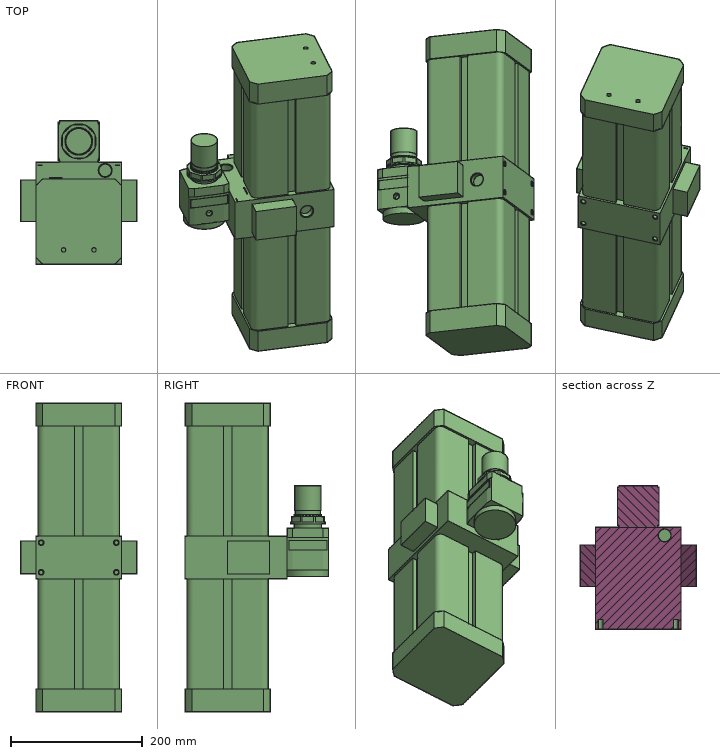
import cadquery as cq


total_height = 468.0
section_width = 130.0
cap_height = 35.0
cap_corner_radius = 84.5
cap_depth_y = 129.0

tube_width = 123.6
tube_corner_radius = 10.0
groove_width = 12.5
groove_depth = 7.0

cap_hole_diameter = 6.65
cap_hole_depth = 15.0
cap_hole_spacing = 46.0
cap_hole_y = -43.0

block_height = 65.0
screw_hole_diameter = 8.5
screw_core_diameter = 6.5
screw_hole_depth = 15.0
screw_chamfer = 1.0
screw_spacing_x = 114.0
screw_spacing_z = 45.0

port_diameter = 21.0
port_core_diameter = 19.0
port_chamfer = (port_diameter - port_core_diameter) / 2
port_depth = 11.0
side_port_y = -22.5
plate_port_x = 40.0

plate_thickness = 25.0
vent_width = 19.0
vent_gap = 1.5
vent_depth = 5.0
vent_x = -35.0
slit_length = 6.0
slit_width = 0.6
slit_depth = 1.0
slit_x = 58.5
slit_from_back = 4.5

side_box_reach = 23.0
side_box_length = 63.0
side_box_height = 50.0

regulator_depth = 63.0
body_width = 62.4
bonnet_width = 62.0
body_corner_inset = 2.0
bonnet_corner_inset = 3.0
corner_run = 8.5
regulator_top = 44.5
bonnet_base = 30.0
bowl_top = -19.0
bowl_bottom = -29.0
strip_width = regulator_depth
strip_length = 58.0
strip_base = 11.5
strip_height = 14.5
gauge_port_diameter = 10.0
gauge_core_diameter = 8.5
gauge_port_chamfer = 0.75
gauge_port_depth = 8.0
gauge_tip_height = 2.5
gauge_port_z = -1.5

neck_diameter = 42.0
nut_base = 51.0
nut_diameter = 53.0
nut_across_flats = 50.0
nut_sides = 8
nut_flange_height = 2.5
nut_height = 11.0
lock_ring_diameter = 42.0
lock_ring_core_diameter = 38.5
lock_ring_height = 3.5
lock_ring_teeth = 24
lock_tooth_gap = 2.0
knob_neck_diameter = 38.5
knob_base = 71.5
knob_diameter = 40.0
knob_top = 109.0

half_width = section_width / 2
plate_back = half_width + plate_thickness
regulator_y = plate_back + regulator_depth / 2


def box(x_range, y_range, z_range):
    """Box spanning the given (low, high) ranges."""
    size = [high - low for low, high in (x_range, y_range, z_range)]
    corner = cq.Vector(x_range[0], y_range[0], z_range[0])
    return cq.Workplane(cq.Solid.makeBox(*size, corner))


def cylinder(diameter, start, direction, length):
    """Cylinder that starts at a point and runs along a direction."""
    return cq.Workplane(cq.Solid.makeCylinder(diameter / 2, length, cq.Vector(*start), cq.Vector(*direction)))


def chamfered_hole(mouth_diameter, core_diameter, chamfer, depth, start, direction):
    """Cutter for a blind hole whose mouth narrows in a short cone."""
    axis = cq.Vector(*direction)
    cone = cq.Solid.makeCone(mouth_diameter / 2, core_diameter / 2, chamfer, cq.Vector(*start), axis)
    return cylinder(core_diameter, start, direction, depth).union(cq.Workplane(cone))


def make_cap(base):
    """End cap with its corners turned to a cylinder around the axis."""
    cap = box((-half_width, half_width), (-cap_depth_y / 2, cap_depth_y / 2), (base, base + cap_height))
    return cap.intersect(cylinder(2 * cap_corner_radius, (0, 0, base), (0, 0, 1), cap_height))


def make_tube():
    """Square profile with rounded corners and one groove along the middle of each side."""
    tube_height = total_height - 2 * cap_height
    tube = cq.Workplane().box(tube_width, tube_width, tube_height).edges("|Z").fillet(tube_corner_radius)
    for side in (-1, 1):
        front_groove = cq.Workplane().box(groove_width, 2 * groove_depth, tube_height)
        side_groove = cq.Workplane().box(2 * groove_depth, groove_width, tube_height)
        tube = tube.cut(front_groove.translate((0, side * tube_width / 2, 0)))
        tube = tube.cut(side_groove.translate((side * tube_width / 2, 0, 0)))
    return tube


def make_plate():
    """Rear connection plate of the centre block, with its port, vent and slits."""
    top = block_height / 2
    plate = box((-half_width, half_width), (half_width, plate_back), (-top, top))
    plate = plate.cut(box((vent_x - vent_width / 2, vent_x + vent_width / 2),
                          (half_width, half_width + vent_gap), (top - vent_depth, top)))
    for side in (-1, 1):
        slit = cq.Workplane().box(slit_length, slit_width, 2 * slit_depth)
        plate = plate.cut(slit.translate((side * slit_x, plate_back - slit_from_back, top)))
    start = (plate_port_x, half_width + plate_thickness / 2, top)
    return plate.cut(chamfered_hole(port_diameter, port_core_diameter, port_chamfer,
                                    port_depth, start, (0, 0, -1)))


def make_housing():
    """Tube, two end caps, centre block and rear plate as one solid."""
    housing = make_tube().union(cq.Workplane().box(section_width, section_width, block_height))
    for base in (-total_height / 2, total_height / 2 - cap_height):
        housing = housing.union(make_cap(base))
    for side in (-1, 1):
        start = (side * cap_hole_spacing / 2, cap_hole_y, total_height / 2)
        housing = housing.cut(cylinder(cap_hole_diameter, start, (0, 0, -1), cap_hole_depth))
        for level in (-1, 1):
            start = (side * screw_spacing_x / 2, -half_width, level * screw_spacing_z / 2)
            housing = housing.cut(chamfered_hole(screw_hole_diameter, screw_core_diameter,
                                                 screw_chamfer, screw_hole_depth, start, (0, 1, 0)))
    start = (-half_width, side_port_y, 0)
    housing = housing.cut(chamfered_hole(port_diameter, port_core_diameter, port_chamfer,
                                         port_depth, start, (1, 0, 0)))
    return housing.union(make_plate(), clean=False)


def make_side_box(side):
    """Plain box on the left (-1) or right (+1) face of the centre block."""
    side_box = cq.Workplane().box(side_box_reach, side_box_length, side_box_height)
    return side_box.translate((side * (half_width + side_box_reach / 2), side_box_length / 2, 0))


def tapered_prism(width, corner_inset, base, top):
    """Prism whose two X flanks lean in by corner_inset near the four corners."""
    half_x = width / 2
    half_y = regulator_depth / 2
    flat_y = half_y - corner_run
    narrow_x = half_x - corner_inset
    outline = [(-narrow_x, -half_y), (narrow_x, -half_y), (half_x, -flat_y), (half_x, flat_y),
               (narrow_x, half_y), (-narrow_x, half_y), (-half_x, flat_y), (-half_x, -flat_y)]
    return cq.Workplane(origin=(0, regulator_y, base)).polyline(outline).close().extrude(top - base)


def make_nut():
    """Octagon with its corners turned to the diameter of the flange under it."""
    start = (0, regulator_y, nut_base)
    nut = cylinder(nut_diameter, start, (0, 0, 1), nut_height)
    slab = cq.Workplane().box(nut_across_flats, 2 * nut_diameter, 2 * nut_height)
    for index in range(nut_sides // 2):
        nut = nut.intersect(slab.rotate((0, 0, 0), (0, 0, 1), 360 / nut_sides * index).translate(start))
    return nut.union(cylinder(nut_diameter, start, (0, 0, 1), nut_flange_height))


def make_lock_ring(base):
    """Ring with evenly spaced tooth gaps around its rim."""
    start = (0, regulator_y, base)
    ring = cylinder(lock_ring_diameter, start, (0, 0, 1), lock_ring_height)
    rim_depth = (lock_ring_diameter - lock_ring_core_diameter) / 2
    gap = cq.Workplane().box(2 * rim_depth, lock_tooth_gap, 2 * lock_ring_height)
    gap = gap.translate((lock_ring_diameter / 2, 0, 0))
    for index in range(lock_ring_teeth):
        angle = 360 / lock_ring_teeth * (index + 0.5)
        ring = ring.cut(gap.rotate((0, 0, 0), (0, 0, 1), angle).translate(start))
    return ring


def make_gauge_port():
    """Cutter for the gauge port: chamfered mouth, bore and drill-point bottom."""
    start = (-body_width / 2, regulator_y, gauge_port_z)
    bore = chamfered_hole(gauge_port_diameter, gauge_core_diameter, gauge_port_chamfer,
                          gauge_port_depth, start, (1, 0, 0))
    tip_start = cq.Vector(*start) + cq.Vector(gauge_port_depth, 0, 0)
    tip = cq.Solid.makeCone(gauge_core_diameter / 2, 0, gauge_tip_height, tip_start, cq.Vector(1, 0, 0))
    return bore.union(cq.Workplane(tip))


def make_regulator():
    """Pressure regulator: body, bonnet, bowl, side strips, nut, lock ring and knob."""
    regulator = tapered_prism(body_width, body_corner_inset, bowl_top, bonnet_base)
    regulator = regulator.union(tapered_prism(bonnet_width, bonnet_corner_inset, bonnet_base, regulator_top))
    regulator = regulator.union(box((-strip_width / 2, strip_width / 2),
                                    (regulator_y - strip_length / 2, regulator_y + strip_length / 2),
                                    (strip_base, strip_base + strip_height)))
    lock_ring_base = nut_base + nut_height
    lock_ring_top = lock_ring_base + lock_ring_height
    turned_steps = (
        (regulator_depth, bowl_bottom, bowl_top),
        (neck_diameter, regulator_top, nut_base),
        (knob_neck_diameter, lock_ring_top, knob_base),
        (knob_diameter, knob_base, knob_top),
    )
    for diameter, base, top in turned_steps:
        regulator = regulator.union(cylinder(diameter, (0, regulator_y, base), (0, 0, 1), top - base))
    regulator = regulator.union(make_nut()).union(make_lock_ring(lock_ring_base))
    return regulator.cut(make_gauge_port())


housing = make_housing()
side_boxes = [make_side_box(side).val() for side in (-1, 1)]
regulator = make_regulator()
result = cq.Compound.makeCompound([housing.val(), *side_boxes, regulator.val()])